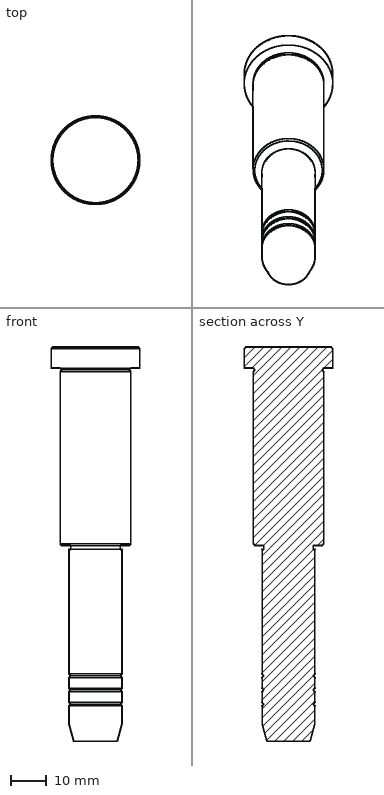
import cadquery as cq
import math

total_length = 111.0
head_diameter = 25.0
head_height = 6.0
head_chamfer = 0.5

body_diameter = 20.0
body_length = 50.0
body_chamfer = 0.5

shank_diameter = 15.0
relief_width = 1.0
relief_depth = 0.5

ring_groove_width = 1.0
ring_groove_depth = 0.4
ring_groove_count = 3
ring_groove_pitch = 4.0
lowest_groove_center = 10.49

taper_length = 5.0
taper_angle = 15.0
tip_fillet = 0.5

head_bottom = total_length - head_height
body_bottom = head_bottom - body_length
tip_radius = shank_diameter / 2 - taper_length * math.tan(math.radians(taper_angle))


def cylinder(diameter, bottom, top):
    return cq.Workplane("XY").workplane(offset=bottom).circle(diameter / 2).extrude(top - bottom)


def ring_cut(diameter, depth, bottom, width):
    """Ring that cuts a square groove into a cylinder of the given diameter."""
    outer = cylinder(diameter, bottom, bottom + width)
    core = cylinder(diameter - 2 * depth, bottom, bottom + width)
    return outer.cut(core)


def vee_ring(diameter, center, depth, width):
    """Ring that cuts a symmetric V-groove, with its root at the center height."""
    radius = diameter / 2
    section = (
        cq.Workplane("XZ")
        .moveTo(radius - depth, center)
        .lineTo(radius, center - width / 2)
        .lineTo(radius, center + width / 2)
        .close()
    )
    return section.revolve(360, (0, 0), (0, 1))


head = cylinder(head_diameter, head_bottom, total_length).faces(">Z").edges().chamfer(head_chamfer)
body = cylinder(body_diameter, body_bottom, head_bottom).faces("<Z").edges().chamfer(body_chamfer)
shank = cylinder(shank_diameter, taper_length, body_bottom)

tip = (
    cq.Workplane("XZ")
    .lineTo(tip_radius, 0)
    .lineTo(shank_diameter / 2, taper_length)
    .lineTo(0, taper_length)
    .close()
    .revolve(360, (0, 0), (0, 1))
    .faces("<Z")
    .edges()
    .fillet(tip_fillet)
)

result = head.union(body).union(shank).union(tip)

result = result.cut(ring_cut(shank_diameter, relief_depth, body_bottom - relief_width, relief_width))

result = result.cut(vee_ring(body_diameter, head_bottom - relief_width / 2, relief_depth, relief_width))

for index in range(ring_groove_count):
    groove_center = lowest_groove_center + index * ring_groove_pitch
    result = result.cut(vee_ring(shank_diameter, groove_center, ring_groove_depth, ring_groove_width))